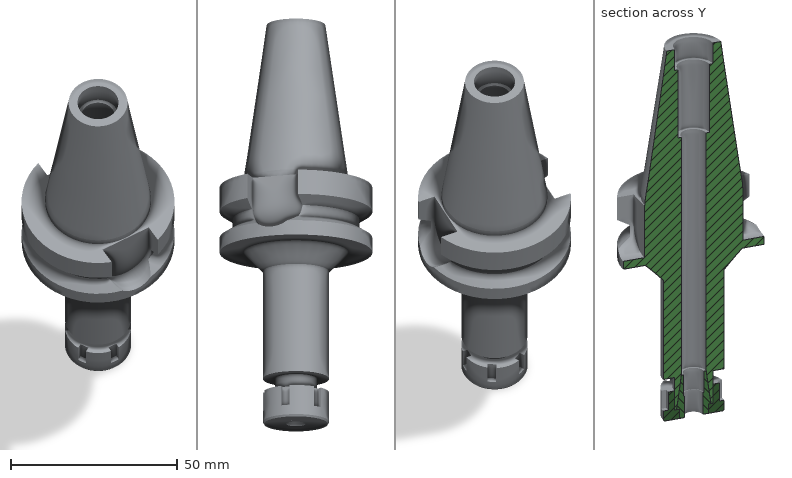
import cadquery as cq
import math

total_height = 123.4

taper_ratio = 7 / 24
gauge_radius = 15.9
taper_length = 48.4
gauge_z = total_height - taper_length
taper_top_radius = gauge_radius - taper_ratio * taper_length / 2

flange_diameter = 46.0
flange_radius = flange_diameter / 2
groove_radius = 19.1
flange_top_z = 73.2
groove_upper_edge_z = 65.6
groove_floor_top_z = 63.2
groove_floor_bottom_z = 59.8
groove_lower_edge_z = 57.5
flange_bottom_z = 53.1

drive_slot_width = 16.2
drive_slot_flat_x = 16.2
drive_slot_center_z = 63.9

cone_top_radius = 15.8
shank_radius = 10.0
shank_top_z = 47.1
shank_bottom_z = 14.0
neck_radius = 6.3
neck_bottom_z = 3.1

mouth_radius = 6.2
mouth_depth = 6.9
thread_bore_radius = 5.0
thread_bore_depth = 29.6
passage_radius = 4.0

collet_half_angle = 8.0
collet_large_radius = 5.5
collet_nose_radius = 4.8
collet_cone_length = (collet_large_radius - passage_radius) / math.tan(math.radians(collet_half_angle))
collet_top_z = neck_bottom_z + collet_cone_length
grip_radius = 3.0
grip_top_z = 7.4
relief_radius = 3.2

nut_radius = shank_radius
nut_height = 9.6
nut_edge_height = 0.6
nut_edge_inset = 0.4
wrench_slot_count = 6
wrench_slot_width = 2.7
wrench_slot_floor_radius = 8.4
wrench_slot_bottom_z = 3.6


def revolve_profile(points):
    """Turn a closed (radius, Z) outline around the Z axis."""
    return cq.Workplane("YZ").polyline(points).close().revolve(360, (0, 0, 0), (0, 1, 0))


def cylinder(radius, bottom_z, top_z):
    return cq.Workplane("XY").workplane(offset=bottom_z).circle(radius).extrude(top_z - bottom_z)


def make_holder_blank():
    return revolve_profile([
        (0, total_height),
        (taper_top_radius, total_height),
        (gauge_radius, gauge_z),
        (gauge_radius, flange_top_z),
        (flange_radius, flange_top_z),
        (flange_radius, groove_upper_edge_z),
        (groove_radius, groove_floor_top_z),
        (groove_radius, groove_floor_bottom_z),
        (flange_radius, groove_lower_edge_z),
        (flange_radius, flange_bottom_z),
        (cone_top_radius, flange_bottom_z),
        (shank_radius, shank_top_z),
        (shank_radius, shank_bottom_z),
        (neck_radius, shank_bottom_z),
        (neck_radius, neck_bottom_z),
        (0, neck_bottom_z),
    ])


def make_drive_slot(side):
    """Round-ended slot, open at the flange top; side is +1 for +X and -1 for -X."""
    half_width = drive_slot_width / 2
    return (
        cq.Workplane("YZ")
        .workplane(offset=side * drive_slot_flat_x)
        .moveTo(-half_width, flange_top_z)
        .lineTo(-half_width, drive_slot_center_z)
        .threePointArc((0, drive_slot_center_z - half_width), (half_width, drive_slot_center_z))
        .lineTo(half_width, flange_top_z)
        .close()
        .extrude(side * (flange_radius - drive_slot_flat_x))
    )


def make_holder_bore():
    """Stepped bore from the top, ending in the conical seat of the collet."""
    mouth_floor_z = total_height - mouth_depth
    thread_floor_z = total_height - thread_bore_depth
    return revolve_profile([
        (0, total_height),
        (mouth_radius, total_height),
        (mouth_radius, mouth_floor_z),
        (thread_bore_radius, mouth_floor_z),
        (thread_bore_radius, thread_floor_z),
        (passage_radius, thread_floor_z),
        (passage_radius, collet_top_z),
        (collet_large_radius, neck_bottom_z),
        (0, neck_bottom_z),
    ])


def make_holder():
    body = make_holder_blank().cut(make_holder_bore())
    for side in (-1, 1):
        body = body.cut(make_drive_slot(side))
    return body


def make_collet():
    """Conical collet whose nose passes through the nut, with a grip bore and a wider relief above."""
    return revolve_profile([
        (grip_radius, 0),
        (collet_nose_radius, 0),
        (collet_nose_radius, neck_bottom_z),
        (collet_large_radius, neck_bottom_z),
        (passage_radius, collet_top_z),
        (relief_radius, collet_top_z),
        (relief_radius, grip_top_z),
        (grip_radius, grip_top_z),
    ])


def make_wrench_slot(angle):
    """Slot in the nut's side, open at the nut's top."""
    slot_depth = nut_radius - wrench_slot_floor_radius
    return (
        cq.Workplane("XY")
        .box(slot_depth, wrench_slot_width, nut_height - wrench_slot_bottom_z, centered=(False, True, False))
        .translate((wrench_slot_floor_radius, 0, wrench_slot_bottom_z))
        .rotate((0, 0, 0), (0, 0, 1), angle)
    )


def make_nut():
    body = revolve_profile([
        (0, 0),
        (nut_radius - nut_edge_inset, 0),
        (nut_radius, nut_edge_height),
        (nut_radius, nut_height),
        (0, nut_height),
    ])
    body = body.cut(cylinder(neck_radius, neck_bottom_z, nut_height))
    body = body.cut(cylinder(collet_nose_radius, 0, neck_bottom_z))
    for index in range(wrench_slot_count):
        body = body.cut(make_wrench_slot(index * 360 / wrench_slot_count))
    return body


holder = make_holder()
collet = make_collet()
nut = make_nut()

result = cq.Compound.makeCompound([holder.val(), collet.val(), nut.val()])